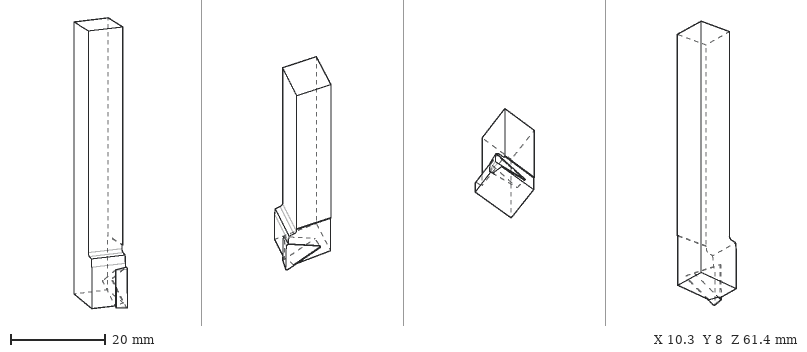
import cadquery as cq
import math


shank_depth = 8.0
shank_right_x = 7.85
side_taper = 0.1
overall_height = 61.35
heel_z = 1.5
toe_z = 0.7
head_width = 9.7
shoulder_x = 9.5
shoulder_z = 11.6
shoulder_angle = 13.0
shoulder_fillet = 0.75
flank_z = 9.8
relief_depth = 0.2
relief_top_z = 13.4

insert_reach_x = 10.35
inscribed_diameter = 5.5
insert_thickness = 2.45
nose_radius = 0.4
clearance_angle = 7.0
insert_tilt = 1.0


def make_side_wedge():
    corners = [(0, 0), (side_taper, -shank_depth), (0, -shank_depth)]
    return cq.Workplane("XY").polyline(corners).close().extrude(overall_height)


def make_holder_blank():
    shoulder_rise = (shoulder_x - shank_right_x) * math.tan(math.radians(shoulder_angle))
    outline = [
        (0, heel_z),
        (head_width, toe_z),
        (head_width, flank_z),
        (shoulder_x, shoulder_z),
        (shank_right_x, shoulder_z + shoulder_rise),
        (shank_right_x, overall_height),
        (0, overall_height),
    ]
    blank = cq.Workplane("XZ").polyline(outline).close().extrude(shank_depth)
    inner_corner = cq.selectors.NearestToPointSelector(
        (shank_right_x, -shank_depth / 2, shoulder_z + shoulder_rise)
    )
    blank = blank.edges("|Y").edges(inner_corner).fillet(shoulder_fillet)
    blank = blank.cut(make_side_wedge())
    relief = cq.Workplane("XY").box(head_width, relief_depth, relief_top_z, centered=False)
    return blank.cut(relief.translate((0, -relief_depth, 0)))


def make_insert():
    nose_distance = inscribed_diameter - 2 * nose_radius
    cutting_angle = math.radians(insert_tilt - 60)
    center_x = insert_reach_x - nose_radius - nose_distance * math.cos(cutting_angle)
    center_z = nose_radius - nose_distance * math.sin(cutting_angle)
    nose_centers = []
    for corner in range(3):
        angle = cutting_angle + corner * math.radians(120)
        nose_centers.append((
            center_x + nose_distance * math.cos(angle),
            center_z + nose_distance * math.sin(angle),
        ))
    return (
        cq.Workplane("XZ")
        .polyline(nose_centers)
        .close()
        .offset2D(nose_radius)
        .extrude(insert_thickness, taper=clearance_angle)
    )


insert = make_insert()

holder = make_holder_blank().cut(insert)

result = cq.Compound.makeCompound([holder.val(), insert.val()])